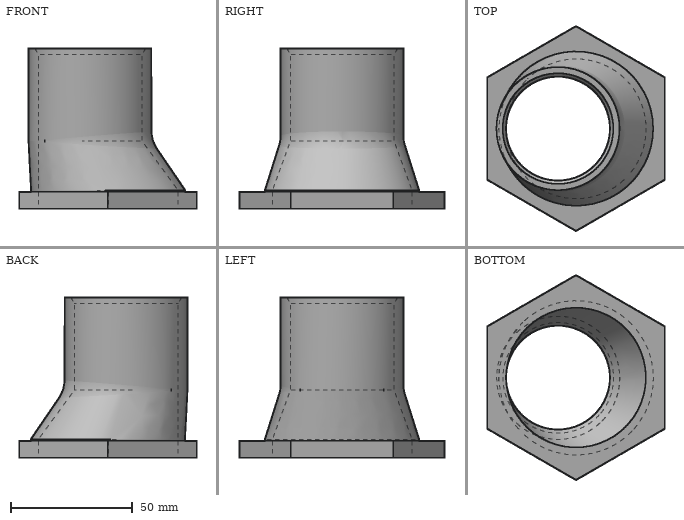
import cadquery as cq
import math

FLANGE_ACROSS_FLATS = 73.06
FLANGE_HEIGHT = 7.0
HEXAGON_SIDES = 6
HEXAGON_HALF_STEP = 180 / HEXAGON_SIDES

RIM_DIAMETER = 63.5
RIM_HEIGHT = 0.7
RIM_TOP = FLANGE_HEIGHT + RIM_HEIGHT

TOTAL_HEIGHT = 66.04
TUBE_DIAMETER = 50.67
TUBE_BOTTOM = 28.0

FLANGE_BORE = 57.5
TUBE_BORE = 42.67
TUBE_X = -(FLANGE_BORE - TUBE_BORE) / 2

BLEND_RADIUS = 12.5
JUNCTION_MARGIN = 1.0
BLEND_END_X = -26.0

MOUTH_DEPTH = 2.5
MOUTH_ANGLE = 30.0
MOUTH_DIAMETER = TUBE_BORE + 2 * MOUTH_DEPTH * math.tan(math.radians(MOUTH_ANGLE))


def cylinder(center_x, diameter, bottom, top):
    """Upright cylinder between two heights."""
    base = cq.Workplane("XY", origin=(center_x, 0, bottom))
    return base.circle(diameter / 2).extrude(top - bottom)


def cone(bottom_x, bottom_diameter, bottom, top_x, top_diameter, top):
    """Straight-sided, possibly oblique, cone between two level circles."""
    return (
        cq.Workplane("XY", origin=(bottom_x, 0, bottom))
        .circle(bottom_diameter / 2)
        .workplane(offset=top - bottom)
        .center(top_x - bottom_x, 0)
        .circle(top_diameter / 2)
        .loft(ruled=True)
    )


def flange():
    """Solid hexagonal plate with corners on the Y axis."""
    across_corners = FLANGE_ACROSS_FLATS / math.cos(math.radians(HEXAGON_HALF_STEP))
    blank = cq.Workplane("XY").polygon(HEXAGON_SIDES, across_corners).extrude(FLANGE_HEIGHT)
    return blank.rotate((0, 0, 0), (0, 0, 1), HEXAGON_HALF_STEP)


def straight_side_block():
    """Block holding the -X side of the body, where the blend has died out."""
    block = cq.Workplane("XY").box(
        RIM_DIAMETER, 2 * RIM_DIAMETER, TOTAL_HEIGHT, centered=(False, True, False)
    )
    return block.translate((BLEND_END_X - RIM_DIAMETER, 0, 0))


def outer_body():
    """Rim, oblique neck and tube, blended where the neck meets the tube."""
    rim = cylinder(0, RIM_DIAMETER, FLANGE_HEIGHT, RIM_TOP)
    neck = cone(0, RIM_DIAMETER, RIM_TOP, TUBE_X, TUBE_DIAMETER, TUBE_BOTTOM)
    tube = cylinder(TUBE_X, TUBE_DIAMETER, TUBE_BOTTOM, TOTAL_HEIGHT)
    body = neck.union(tube)
    straight_side = body.intersect(straight_side_block())
    junction = cq.selectors.BoxSelector(
        (-RIM_DIAMETER, -RIM_DIAMETER, TUBE_BOTTOM - JUNCTION_MARGIN),
        (RIM_DIAMETER, RIM_DIAMETER, TUBE_BOTTOM + JUNCTION_MARGIN),
        boundingbox=True,
    )
    flared_side = body.cut(straight_side_block()).edges(junction).fillet(BLEND_RADIUS)
    return flared_side.union(straight_side).union(rim)


def passage():
    """Flange bore, oblique transition, tube bore and the mouth lead-in."""
    mouth_bottom = TOTAL_HEIGHT - MOUTH_DEPTH
    flange_bore = cylinder(0, FLANGE_BORE, 0, RIM_TOP)
    transition = cone(0, FLANGE_BORE, RIM_TOP, TUBE_X, TUBE_BORE, TUBE_BOTTOM)
    tube_bore = cylinder(TUBE_X, TUBE_BORE, TUBE_BOTTOM, TOTAL_HEIGHT)
    mouth = cone(TUBE_X, TUBE_BORE, mouth_bottom, TUBE_X, MOUTH_DIAMETER, TOTAL_HEIGHT)
    return flange_bore.union(transition).union(tube_bore).union(mouth)


result = flange().union(outer_body()).cut(passage())